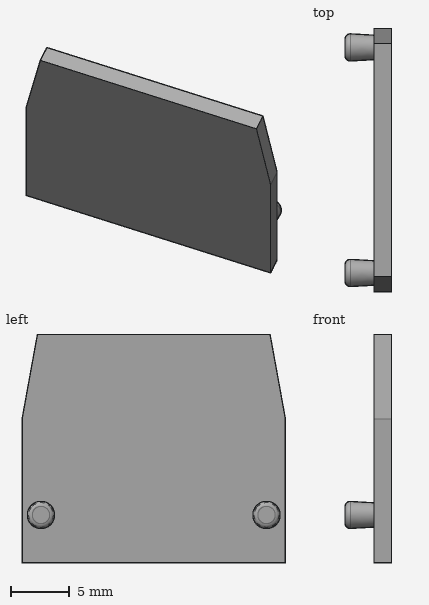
import cadquery as cq

plate_width = 22.5
plate_height = 19.5
plate_thickness = 1.5
corner_inset = 1.3
corner_drop = 7.2

pin_length = 2.48
pin_base_radius = 1.05
pin_tip_radius = 1.17
pin_rounding = 0.5
pin_face_radius = 0.75
pin_center_height = 4.1
pin_edge_distance = 1.62

half_width = plate_width / 2


def make_plate():
    shoulder_height = plate_height - corner_drop
    top_half_width = half_width - corner_inset
    return (
        cq.Workplane("YZ")
        .moveTo(-half_width, 0)
        .lineTo(half_width, 0)
        .lineTo(half_width, shoulder_height)
        .lineTo(top_half_width, plate_height)
        .lineTo(-top_half_width, plate_height)
        .lineTo(-half_width, shoulder_height)
        .close()
        .extrude(plate_thickness)
    )


def make_pin(center_y):
    rounding_start = -(pin_length - pin_rounding)
    profile = (
        cq.Workplane("XY")
        .lineTo(0, pin_base_radius)
        .lineTo(rounding_start, pin_tip_radius)
        .tangentArcPoint((-pin_length, pin_face_radius), relative=False)
        .lineTo(-pin_length, 0)
        .close()
    )
    pin = profile.revolve(360, (0, 0, 0), (1, 0, 0))
    return pin.translate((0, center_y, pin_center_height))


result = make_plate()
pin_offset = half_width - pin_edge_distance
for side in (-1, 1):
    result = result.union(make_pin(side * pin_offset))